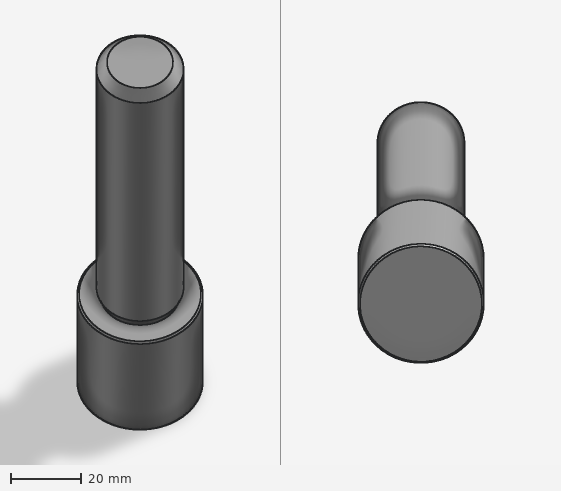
import cadquery as cq

total_height = 145.0
head_diameter = 36.0
head_height = 40.0
head_chamfer = 0.6
shank_diameter = 25.0
tip_chamfer = 3.0
groove_diameter = 22.9
groove_width = 3.0

head_radius = head_diameter / 2
shank_radius = shank_diameter / 2
groove_radius = groove_diameter / 2
groove_top = head_height + groove_width

head = cq.Workplane("XY").circle(head_radius).extrude(head_height)
head = head.faces("<Z or >Z").edges().chamfer(head_chamfer)

groove_neck = cq.Workplane("XY").workplane(offset=head_height).circle(groove_radius).extrude(groove_width)

shank = cq.Workplane("XY").workplane(offset=groove_top).circle(shank_radius).extrude(total_height - groove_top)
shank = shank.faces(">Z").edges().chamfer(tip_chamfer)

result = head.union(groove_neck).union(shank)